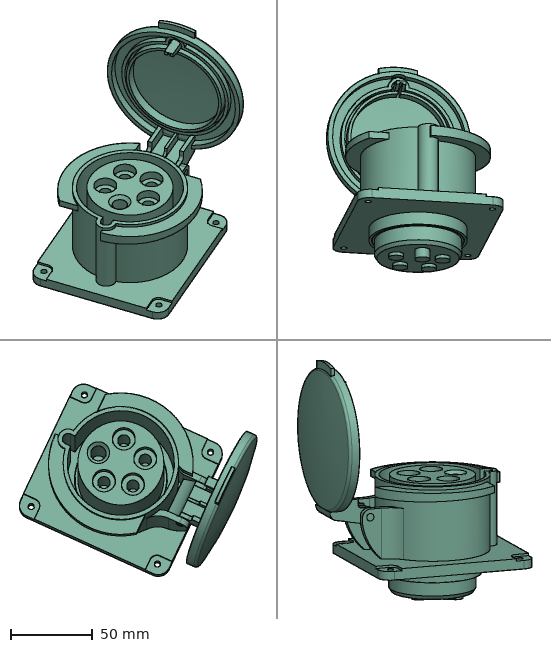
import cadquery as cq
import math


FLANGE_X = 90.0
FLANGE_Y = 100.0
FLANGE_H = 6.8
FLANGE_CORNER_R = 7.5
PAD_X = 11.5
PAD_Y = 12.7
PAD_DEPTH = 1.4
PAD_CORNER_R = 4.5
SCREW_X = 38.5
SCREW_Y = 42.5
SCREW_R = 1.9
SHROUD_R = 35.2
SHROUD_BORE_R = 32.5
SHROUD_TOP = 53.2
KEY_Y = -35.5
KEY_OUTER_R = 6.2
KEY_SLOT_R = 3.4
NECK_R = 30.0
NECK_H = 7.9
NECK_BORE_R = 28.2

COLLAR_R = 44.1
COLLAR_TOP = 51.2
COLLAR_THICK = 6.5
COLLAR_THIN = 4.3
COLLAR_END_Y = 26.9

PIN_Y = 46.9
PIN_Z = 33.6
PIN_R = 2.3
LUG_X = 16.2
LUG_ROUND_R = 5.1
LUG_ROOT_FILLET = 15.5
LUG_ARC_TOP_Z = 29.5
LUG_ARC_MID = (47.8, 17.3)
HINGE_SLOT_X = 12.3
SLOT_FLARE = 1.2
SLOT_FLARE_Y = 36.4

CARRIER_R = 26.2
CARRIER_COLLAR_R = 28.0
CARRIER_BASE_R = 26.7
CARRIER_BOTTOM = -19.3
BASE_CHAMFER_R = 1.5
BASE_CHAMFER_H = 2.5
CONTACT_COUNT = 5
CONTACT_CIRCLE_R = 15.1
CONTACT_R = 4.6
CONTACT_LENGTH = 2.2
EARTH_LENGTH = 6.0
RECESS_R = 7.0
RECESS_DEPTH = 5.4
SOCKET_R = 3.7
EARTH_SOCKET_R = 4.6
EARTH_MOUTH_R = 6.8
SOCKET_DEPTH = 30.9

LID_Z = 80.4
LID_R = 44.3
LID_FRONT_Y = 64.7
LID_BACK_Y = 76.0
DOME_RISE = 4.6
LID_EDGE_FILLET = 1.9
LID_WALL = 2.2
RECESS_RIM_R = 41.4
SEAL_R = 35.7
SEAL_INNER_R = 33.5
SEAL_Y = 67.0
SEAL_KEY_OFFSET = 34.7
SEAL_KEY_R = 6.5
SEAL_KEY_INNER_R = 4.3
RIM_NOTCH_R = 7.0
RING_R = 31.8
BOWL_R = 30.0
RING_Y = 65.1
BOWL_WALL = 2.5
TAB_X = 12.0
TAB_R = 48.6
TAB_FRONT_Y = 68.8
TAB_BACK_Y = 71.1
HOOK_X = 3.0
HOOK_TIP_Y = 57.5
HOOK_TOP = 35.8
HOOK_ROOT = 31.6
HOOK_TIP = 33.6
SLIT_X = 1.0
SLIT_TOP = 34.5

ARM_X = 12.0
ARM_FLOOR_Z = 37.8
ARM_NOSE_Y = 45.0
ARM_NOSE_BEVEL = 0.8
ARM_END_Y = 36.4
ARM_END_TOP_Z = 27.8
ARM_END_BOTTOM_Z = 26.4
ARM_HOLLOW_MID = (41.0, 32.0)
ARM_HEEL_Y = 68.8
ARM_HEEL_Z = 32.5
ARM_HEEL_MID = (70.8, 34.5)
ARM_BACK_Y = 71.8
RIB_INNER_X = 9.3
MID_RIB_X = 1.0
RIB_TOP_Z = 44.6
MID_RIB_TOP_Z = 43.2
RIB_STEP_Y = 53.1
RIB_CURVE_R = 2.3
RIB_LOW_Z = 38.7


def cylinder_between(radius, bottom, top):
    return cq.Workplane("XY").workplane(offset=bottom).circle(radius).extrude(top - bottom)


def box_between(x0, x1, y0, y1, z0, z1):
    return cq.Workplane("XY").box(x1 - x0, y1 - y0, z1 - z0, centered=False).translate((x0, y0, z0))


def side_prism(profile, half_width):
    """Extrude a closed (y, z) profile symmetrically about the X = 0 plane."""
    return profile.extrude(half_width, both=True)


def make_flange():
    flange = cq.Workplane("XY").box(FLANGE_X, FLANGE_Y, FLANGE_H, centered=(True, True, False))
    flange = flange.edges("|Z").fillet(FLANGE_CORNER_R)
    for sx in (-1, 1):
        for sy in (-1, 1):
            pad = cq.Workplane("XY").box(2 * PAD_X, 2 * PAD_Y, PAD_DEPTH, centered=(True, True, False))
            pad = pad.edges("|Z").fillet(PAD_CORNER_R)
            pad_z = FLANGE_H - PAD_DEPTH
            flange = flange.cut(pad.translate((sx * FLANGE_X / 2, sy * FLANGE_Y / 2, pad_z)))
            screw_hole = cylinder_between(SCREW_R, 0, FLANGE_H)
            flange = flange.cut(screw_hole.translate((sx * SCREW_X, sy * SCREW_Y, 0)))
    return flange


def make_collar_half():
    """Half of the bayonet collar, on the -X side, thinning from +Y round to its end."""
    collar_bottom = COLLAR_TOP - COLLAR_THICK
    ring = cylinder_between(COLLAR_R, collar_bottom, COLLAR_TOP)
    ring = ring.intersect(
        box_between(-COLLAR_R, 0, -COLLAR_END_Y, COLLAR_R, collar_bottom, COLLAR_TOP))
    ramp_rise = COLLAR_THICK - COLLAR_THIN
    ramp_angle = 90 + math.degrees(math.asin(COLLAR_END_Y / COLLAR_R))
    pitch = ramp_rise * 360 / ramp_angle
    mid_r = (COLLAR_R + SHROUD_R) / 2
    cutter_width = 1.5 * (COLLAR_R - SHROUD_R)
    cutter_height = 2 * ramp_rise
    path = cq.Workplane(obj=cq.Wire.makeHelix(pitch, pitch / 2, mid_r))
    ramp = (cq.Workplane("XZ").center(mid_r, -cutter_height / 2)
            .rect(cutter_width, cutter_height).sweep(path, isFrenet=True))
    ramp = ramp.rotate((0, 0, 0), (0, 0, 1), 90).translate((0, 0, collar_bottom))
    return ring.cut(ramp)


def make_lugs():
    """Hinge block standing on the flange; the hinge slot later parts it into two lugs."""
    top = PIN_Z + LUG_ROUND_R
    back = PIN_Y + LUG_ROUND_R
    fillet_x = LUG_X + LUG_ROOT_FILLET
    reach = SHROUD_R + LUG_ROOT_FILLET
    fillet_y = math.sqrt(reach ** 2 - fillet_x ** 2)
    touch_x = fillet_x * SHROUD_R / reach
    touch_y = fillet_y * SHROUD_R / reach
    mid_angle = math.pi + math.atan2(fillet_y, fillet_x) / 2
    mid_x = fillet_x + LUG_ROOT_FILLET * math.cos(mid_angle)
    mid_y = fillet_y + LUG_ROOT_FILLET * math.sin(mid_angle)
    plan = (cq.Workplane("XY").moveTo(0, 0).lineTo(touch_x, touch_y)
            .threePointArc((mid_x, mid_y), (LUG_X, fillet_y))
            .lineTo(LUG_X, back).lineTo(-LUG_X, back).lineTo(-LUG_X, fillet_y)
            .threePointArc((-mid_x, mid_y), (-touch_x, touch_y)).close().extrude(top))
    half = LUG_ROUND_R * math.sqrt(0.5)
    side = (cq.Workplane("YZ").moveTo(0, 0).lineTo(fillet_y, 0).lineTo(fillet_y, FLANGE_H)
            .threePointArc(LUG_ARC_MID, (back, LUG_ARC_TOP_Z)).lineTo(back, PIN_Z)
            .threePointArc((PIN_Y + half, PIN_Z + half), (PIN_Y, top)).lineTo(0, top).close())
    return plan.intersect(side_prism(side, LUG_X + LUG_ROOT_FILLET))


def make_hinge_slot():
    flare_x = HINGE_SLOT_X + SLOT_FLARE
    back = PIN_Y + 2 * LUG_ROUND_R
    front = SHROUD_R * math.cos(math.asin(flare_x / SHROUD_R))
    slot = (cq.Workplane("XY").workplane(offset=FLANGE_H)
            .polyline([(-flare_x, front), (-HINGE_SLOT_X, SLOT_FLARE_Y), (-HINGE_SLOT_X, back),
                       (HINGE_SLOT_X, back), (HINGE_SLOT_X, SLOT_FLARE_Y), (flare_x, front)])
            .close().extrude(SHROUD_TOP - FLANGE_H))
    return slot.cut(cylinder_between(SHROUD_R, 0, SHROUD_TOP))


def make_housing(pin):
    housing = make_flange()
    housing = housing.union(cylinder_between(SHROUD_R, 0, SHROUD_TOP))
    housing = housing.union(cylinder_between(KEY_OUTER_R, 0, SHROUD_TOP).translate((0, KEY_Y, 0)))
    housing = housing.union(cylinder_between(NECK_R, -NECK_H, 0))
    collar_half = make_collar_half()
    for turn in (0, 180):
        housing = housing.union(collar_half.rotate((0, 0, 0), (0, 0, 1), turn))
    housing = housing.union(make_lugs()).cut(make_hinge_slot())
    housing = housing.cut(cylinder_between(SHROUD_BORE_R, FLANGE_H, SHROUD_TOP))
    keyway = box_between(-KEY_SLOT_R, KEY_SLOT_R, KEY_Y, 0, FLANGE_H, SHROUD_TOP)
    keyway = keyway.union(cylinder_between(KEY_SLOT_R, FLANGE_H, SHROUD_TOP).translate((0, KEY_Y, 0)))
    housing = housing.cut(keyway).cut(cylinder_between(NECK_BORE_R, -NECK_H, SHROUD_TOP))
    return housing.cut(pin)


def make_carrier():
    base_edge_r = CARRIER_BASE_R - BASE_CHAMFER_R
    carrier = (cq.Workplane("XZ")
               .polyline([(0, CARRIER_BOTTOM), (base_edge_r, CARRIER_BOTTOM),
                          (CARRIER_BASE_R, CARRIER_BOTTOM + BASE_CHAMFER_H), (CARRIER_BASE_R, -NECK_H),
                          (CARRIER_COLLAR_R, -NECK_H), (CARRIER_COLLAR_R, FLANGE_H),
                          (CARRIER_R, FLANGE_H), (CARRIER_R, SHROUD_TOP), (0, SHROUD_TOP)])
               .close().revolve(360, (0, 0), (0, 1)))
    for index in range(CONTACT_COUNT):
        is_earth = index == 0
        angle = math.radians(-90 + index * 360 / CONTACT_COUNT)
        place = (CONTACT_CIRCLE_R * math.cos(angle), CONTACT_CIRCLE_R * math.sin(angle), 0)
        length = EARTH_LENGTH if is_earth else CONTACT_LENGTH
        socket_r = EARTH_SOCKET_R if is_earth else SOCKET_R
        contact = cylinder_between(CONTACT_R, CARRIER_BOTTOM - length, CARRIER_BOTTOM)
        socket = cylinder_between(socket_r, SHROUD_TOP - SOCKET_DEPTH, SHROUD_TOP)
        if is_earth:
            mouth_h = EARTH_MOUTH_R - EARTH_SOCKET_R
            mouth = cq.Workplane(obj=cq.Solid.makeCone(
                EARTH_SOCKET_R, EARTH_MOUTH_R, mouth_h, cq.Vector(0, 0, SHROUD_TOP - mouth_h)))
        else:
            mouth = cylinder_between(RECESS_R, SHROUD_TOP - RECESS_DEPTH, SHROUD_TOP)
        carrier = carrier.union(contact.translate(place))
        carrier = carrier.cut(socket.union(mouth).translate(place))
    return carrier


DOME_R = (LID_R ** 2 + DOME_RISE ** 2) / (2 * DOME_RISE)


def dome_point(radius, inset):
    """(r, y) on the lid's dome, or on a surface parallel to it and inset inwards."""
    return (radius, LID_BACK_Y - DOME_R + math.sqrt((DOME_R - inset) ** 2 - radius ** 2))


def recess_floor_y():
    """Y of the recess floor where it meets the lid rim."""
    return dome_point(RECESS_RIM_R, LID_WALL)[1]


def make_lid_shell():
    """Domed disc with a rounded back edge, hollowed on its front into a rim, an inner ring and a bowl."""
    edge_y = dome_point(LID_R, 0)[1]
    disc = (cq.Workplane("XY").moveTo(0, LID_FRONT_Y).lineTo(LID_R, LID_FRONT_Y).lineTo(LID_R, edge_y)
            .threePointArc(dome_point(LID_R / 2, 0), dome_point(0, 0)).close()
            .revolve(360, (0, 0), (0, 1)))
    back_edge = cq.selectors.NearestToPointSelector((0, edge_y, 0))
    disc = disc.edges("%CIRCLE").edges(back_edge).fillet(LID_EDGE_FILLET)
    hollow = (cq.Workplane("XY").moveTo(*dome_point(0, BOWL_WALL))
              .threePointArc(dome_point(BOWL_R / 2, BOWL_WALL), dome_point(BOWL_R, BOWL_WALL))
              .lineTo(BOWL_R, RING_Y).lineTo(RING_R, RING_Y).lineTo(*dome_point(RING_R, LID_WALL))
              .threePointArc(dome_point(SEAL_R, LID_WALL), dome_point(RECESS_RIM_R, LID_WALL))
              .lineTo(RECESS_RIM_R, LID_FRONT_Y).lineTo(0, LID_FRONT_Y).close()
              .revolve(360, (0, 0), (0, 1)))
    return disc.cut(hollow)


def lid_disc(radius, y0, y1, z=0.0):
    return cq.Workplane("XZ", origin=(0, y0, z)).circle(radius).extrude(y0 - y1)


def make_lid_seal():
    """Seal lip following the shroud's end, keyway bump included."""
    floor_y = recess_floor_y() + LID_WALL
    bump = lid_disc(SEAL_KEY_R, SEAL_Y, floor_y, SEAL_KEY_OFFSET)
    inside = lid_disc(SEAL_INNER_R, SEAL_Y, floor_y)
    key_slot = lid_disc(SEAL_KEY_INNER_R, SEAL_Y, floor_y, SEAL_KEY_OFFSET)
    key_slot = key_slot.union(
        box_between(-SEAL_KEY_INNER_R, SEAL_KEY_INNER_R, SEAL_Y, floor_y, 0, SEAL_KEY_OFFSET))
    return lid_disc(SEAL_R, SEAL_Y, floor_y).union(bump).cut(inside).cut(key_slot)


def make_rim_notch():
    """Clearance in the lid rim for the round back of the shroud's keyway."""
    floor_y = recess_floor_y()
    notch = lid_disc(RIM_NOTCH_R, LID_FRONT_Y, floor_y, -KEY_Y)
    return notch.cut(lid_disc(RECESS_RIM_R, LID_FRONT_Y, floor_y))


def make_lid_tab():
    tab = lid_disc(TAB_R, TAB_FRONT_Y, TAB_BACK_Y)
    return tab.intersect(box_between(-TAB_X, TAB_X, 0, LID_BACK_Y, RECESS_RIM_R, TAB_R))


def make_lid_hook():
    root_y = dome_point(RING_R, LID_WALL)[1] + LID_WALL / 2
    profile = (cq.Workplane("YZ")
               .polyline([(root_y, HOOK_TOP), (HOOK_TIP_Y, HOOK_TOP), (HOOK_TIP_Y, HOOK_TIP),
                          (LID_FRONT_Y, HOOK_ROOT), (root_y, HOOK_ROOT)]).close())
    return side_prism(profile, HOOK_X)


def make_lid_slit():
    """Slit through the inner ring and the underside of the hook."""
    back_y = dome_point(BOWL_R, BOWL_WALL)[1]
    return box_between(-SLIT_X, SLIT_X, HOOK_TIP_Y, back_y, 0, SLIT_TOP)


def make_channels():
    """Space between the arm's outer ribs, over the lower middle rib, running on through the lid rim."""
    channel = box_between(MID_RIB_X, RIB_INNER_X, 0, recess_floor_y(), ARM_FLOOR_Z, RIB_TOP_Z)
    above_mid_rib = box_between(-MID_RIB_X, MID_RIB_X, 0, recess_floor_y(), MID_RIB_TOP_Z, RIB_TOP_Z)
    return channel.union(above_mid_rib).union(channel.mirror("YZ"))


def make_lid_arm():
    """Hinge arm: a tongue reaching past the pin, with three ribs on its upper side."""
    bevel_y = ARM_NOSE_Y - ARM_NOSE_BEVEL
    bevel_z = ARM_FLOOR_Z - ARM_NOSE_BEVEL
    tongue = (cq.Workplane("YZ").moveTo(ARM_BACK_Y, ARM_FLOOR_Z)
              .threePointArc(ARM_HEEL_MID, (ARM_HEEL_Y, ARM_HEEL_Z))
              .lineTo(ARM_END_Y, ARM_END_BOTTOM_Z).lineTo(ARM_END_Y, ARM_END_TOP_Z)
              .threePointArc(ARM_HOLLOW_MID, (bevel_y, bevel_z)).lineTo(ARM_NOSE_Y, ARM_FLOOR_Z).close())
    start_y = recess_floor_y()
    curve_y = RIB_STEP_Y - RIB_CURVE_R
    rib = (cq.Workplane("YZ").moveTo(start_y, ARM_FLOOR_Z).lineTo(start_y, RIB_TOP_Z)
           .lineTo(RIB_STEP_Y, RIB_TOP_Z).lineTo(RIB_STEP_Y, RIB_LOW_Z + RIB_CURVE_R)
           .radiusArc((curve_y, RIB_LOW_Z), RIB_CURVE_R)
           .lineTo(ARM_NOSE_Y, RIB_LOW_Z).lineTo(ARM_NOSE_Y, ARM_FLOOR_Z).close())
    return side_prism(tongue, ARM_X).union(side_prism(rib, ARM_X))


def make_lid(pin):
    lid = make_lid_shell().cut(make_rim_notch())
    lid = lid.union(make_lid_seal()).union(make_lid_tab()).union(make_lid_hook())
    lid = lid.cut(make_lid_slit()).translate((0, 0, LID_Z))
    return lid.union(make_lid_arm()).cut(make_channels()).cut(pin)


def make_pin():
    return cq.Workplane("YZ").center(PIN_Y, PIN_Z).circle(PIN_R).extrude(LUG_X, both=True)


hinge_pin = make_pin()
housing = make_housing(hinge_pin)
carrier = make_carrier()
lid = make_lid(hinge_pin)

result = cq.Compound.makeCompound([
    housing.solids().val(),
    carrier.solids().val(),
    lid.solids().val(),
    hinge_pin.solids().val(),
])